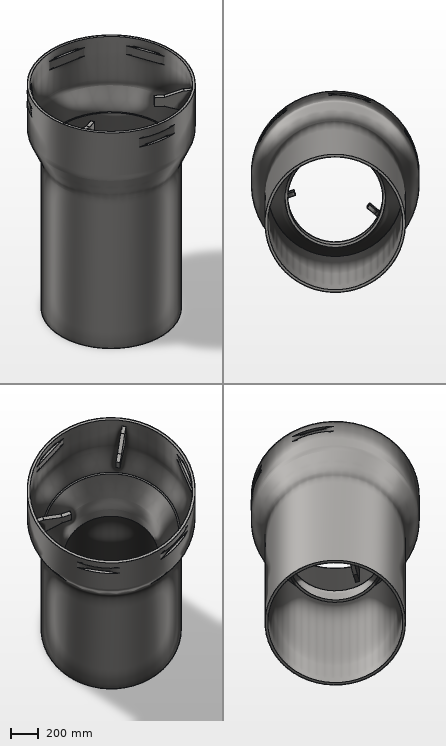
import cadquery as cq
import math

total_height = 2000.0
wall = 20.0
socket_radius = 610.0
pipe_radius = 510.0
flare_bottom = 1355.0
flare_top = 1588.0
bend_radius = 120.0
socket_bore_radius = socket_radius - wall
pipe_bore_radius = pipe_radius - wall
flare_angle = math.atan2(socket_radius - pipe_radius, flare_top - flare_bottom)
flare_corner_shift = wall * math.tan(flare_angle / 2)

dent_angles = (0, 120, 180, 240)
dent_floor_radius = socket_radius - wall
dent_half_width = math.sqrt(socket_radius**2 - dent_floor_radius**2)
dent_height = 75.0
dent_center_z = 1885.0

funnel_wall = 20.0
throat_radius = 690.0 / 2
funnel_top = 1390.0
rim_inner_radius = 490.0
funnel_angle = math.radians(35)
funnel_bend_radius = 160.0
throat_length = 100.0

rib_angles = (60, -60)
rib_thickness = 30.0
rib_center_z = 1830.0
rib_tip_radius = 315.0
rib_tip_end = 385.0
rib_root_start = 528.0
rib_tip_height = 80.0
rib_root_height = 180.0


def bend(corner, angle, radius, upper):
    """Start, middle and end of an arc, from bottom to top, rounding a corner between
    a vertical line and a line leaning outward by angle; upper puts the vertical on top."""
    r, z = corner
    tangent = radius * math.tan(angle / 2)
    side = -1 if upper else 1
    center_r = r + side * radius
    center_z = z - side * tangent
    turns = (angle, angle / 2, 0) if upper else (0, angle / 2, angle)
    return [
        (center_r - side * radius * math.cos(a), center_z + side * radius * math.sin(a))
        for a in turns
    ]


def flared_solid(lower_radius, upper_radius, corner_shift, lower_bend, upper_bend):
    """Solid of revolution following one surface of the flared pipe."""
    lower = bend((lower_radius, flare_bottom + corner_shift), flare_angle, lower_bend, False)
    upper = bend((upper_radius, flare_top + corner_shift), flare_angle, upper_bend, True)
    return (
        cq.Workplane("XZ")
        .moveTo(0, 0)
        .lineTo(lower_radius, 0)
        .lineTo(*lower[0])
        .threePointArc(lower[1], lower[2])
        .lineTo(*upper[0])
        .threePointArc(upper[1], upper[2])
        .lineTo(upper_radius, total_height)
        .lineTo(0, total_height)
        .close()
        .revolve(360, (0, 0), (0, 1))
    )


def dent_block(inner_radius, outer_radius, angle):
    """Block across the socket wall, spanning two distances from the axis."""
    return (
        cq.Workplane("XY")
        .box(outer_radius - inner_radius, 2 * dent_half_width, dent_height)
        .translate(((inner_radius + outer_radius) / 2, 0, dent_center_z))
        .rotate((0, 0, 0), (0, 0, 1), angle)
    )


def pipe_inside():
    return flared_solid(
        pipe_bore_radius, socket_bore_radius, flare_corner_shift, bend_radius + wall, bend_radius
    )


def make_pipe():
    outside = flared_solid(pipe_radius, socket_radius, 0, bend_radius, bend_radius + wall)
    pipe = outside.cut(pipe_inside())
    for angle in dent_angles:
        pressed_wall = dent_block(dent_floor_radius - wall, socket_radius, angle).intersect(outside)
        pocket = dent_block(dent_floor_radius, socket_radius + wall, angle)
        pipe = pipe.union(pressed_wall).cut(pocket)
    return pipe


def make_funnel():
    slope = math.tan(funnel_angle)
    rim_outer = rim_inner_radius + funnel_wall / math.cos(funnel_angle)
    inner_corner_z = funnel_top - (rim_inner_radius - throat_radius) / slope
    throat_outer = throat_radius + funnel_wall
    outer_corner_z = funnel_top - (rim_outer - throat_outer) / slope
    inner = bend((throat_radius, inner_corner_z), funnel_angle, funnel_bend_radius + funnel_wall, False)
    outer = bend((throat_outer, outer_corner_z), funnel_angle, funnel_bend_radius, False)
    bottom = inner[0][1] - throat_length
    funnel = (
        cq.Workplane("XZ")
        .moveTo(throat_radius, bottom)
        .lineTo(throat_outer, bottom)
        .lineTo(*outer[0])
        .threePointArc(outer[1], outer[2])
        .lineTo(rim_outer, funnel_top)
        .lineTo(rim_inner_radius, funnel_top)
        .lineTo(*inner[2])
        .threePointArc(inner[1], inner[0])
        .close()
        .revolve(360, (0, 0), (0, 1))
    )
    return funnel.intersect(pipe_inside())


def make_rib(angle):
    half_tip = rib_tip_height / 2
    half_root = rib_root_height / 2
    upper_edge = [
        (rib_tip_radius, half_tip),
        (rib_tip_end, half_tip),
        (rib_root_start, half_root),
        (socket_radius, half_root),
    ]
    lower_edge = [(r, -z) for r, z in reversed(upper_edge)]
    bore = cq.Workplane("XY").circle(socket_bore_radius).extrude(total_height)
    return (
        cq.Workplane("XZ")
        .polyline(upper_edge + lower_edge)
        .close()
        .extrude(rib_thickness / 2, both=True)
        .translate((0, 0, rib_center_z))
        .intersect(bore)
        .rotate((0, 0, 0), (0, 0, 1), angle)
    )


pipe = make_pipe()
funnel = make_funnel()
ribs = [make_rib(angle) for angle in rib_angles]

result = cq.Compound.makeCompound([pipe.val(), funnel.val(), *[rib.val() for rib in ribs]])